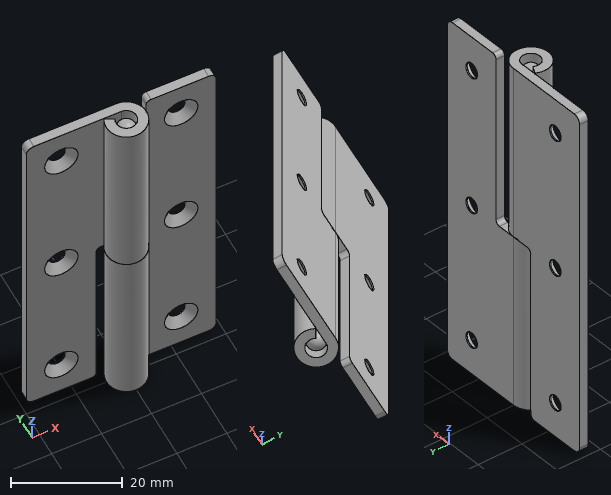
import cadquery as cq
import math


length = 75.0
width = 38.0
barrel_radius = 4.01
thickness = barrel_radius / 2

bore_radius = barrel_radius - thickness
curl_end_angle = math.radians(152)
curl_mid_angle = math.radians(-60)

barrel_gap = 1.0
notch_x = barrel_radius + barrel_gap
outer_corner_radius = 1.5
inner_corner_radius = 1.0

hole_x = 12.0
hole_pitch = 30.0
hole_diameter = 3.2
countersink_diameter = 6.7
countersink_angle = 90

pin_end_gap = 1.0


def polar(radius, angle):
    """Point on a circle around the pin axis."""
    return radius * math.cos(angle), radius * math.sin(angle)


def leaf_profile():
    """Section of the strip and its curl, with the strip towards -X."""
    return (
        cq.Workplane("XY")
        .moveTo(-width / 2, barrel_radius)
        .lineTo(0, barrel_radius)
        .threePointArc(polar(barrel_radius, curl_mid_angle), polar(barrel_radius, curl_end_angle))
        .lineTo(*polar(bore_radius, curl_end_angle))
        .threePointArc(polar(bore_radius, curl_mid_angle), (0, bore_radius))
        .lineTo(-width / 2, bore_radius)
        .close()
    )


def screw_holes():
    """Cutters for the three holes, countersunk from the front (-Y) face."""
    hole_radius = hole_diameter / 2
    countersink_radius = countersink_diameter / 2
    cone_depth = (countersink_radius - hole_radius) / math.tan(math.radians(countersink_angle / 2))
    section = (
        cq.Workplane("XY")
        .moveTo(0, 0)
        .lineTo(countersink_radius, 0)
        .lineTo(hole_radius, cone_depth)
        .lineTo(hole_radius, thickness)
        .lineTo(0, thickness)
        .close()
    )
    cutter = section.revolve(360, (0, 0), (0, 1)).translate((-hole_x, bore_radius, 0))
    return [cutter.translate((0, 0, row * hole_pitch)) for row in (-1, 0, 1)]


def make_leaf():
    """Full-height strip towards -X with its barrel on the upper half."""
    leaf = leaf_profile().extrude(length / 2)
    lower_strip = (
        cq.Workplane("XY")
        .box(width / 2 - notch_x, thickness, length / 2, centered=False)
        .translate((-width / 2, bore_radius, -length / 2))
    )
    leaf = leaf.union(lower_strip)

    leaf = leaf.faces("<Z or >Z").edges("|Y and <X").fillet(outer_corner_radius)
    leaf = leaf.faces("<Z").edges("|Y and >X").fillet(inner_corner_radius)
    notch_corner = cq.selectors.NearestToPointSelector((-notch_x, barrel_radius - thickness / 2, 0))
    leaf = leaf.edges("|Y").edges(notch_corner).fillet(inner_corner_radius)

    for hole in screw_holes():
        leaf = leaf.cut(hole)
    return leaf


def make_pin():
    """Round pin with hemispherical ends."""
    tip_z = length / 2 - pin_end_gap
    shoulder_z = tip_z - bore_radius
    arc_offset = bore_radius * math.sin(math.radians(45))
    return (
        cq.Workplane("XZ")
        .moveTo(0, -tip_z)
        .threePointArc((arc_offset, -shoulder_z - arc_offset), (bore_radius, -shoulder_z))
        .lineTo(bore_radius, shoulder_z)
        .threePointArc((arc_offset, shoulder_z + arc_offset), (0, tip_z))
        .close()
        .revolve(360, (0, 0), (0, 1))
    )


upper_leaf = make_leaf()
lower_leaf = make_leaf().rotate((0, 0, 0), (0, 1, 0), 180)
pin = make_pin()

result = cq.Compound.makeCompound([upper_leaf.val(), lower_leaf.val(), pin.val()])